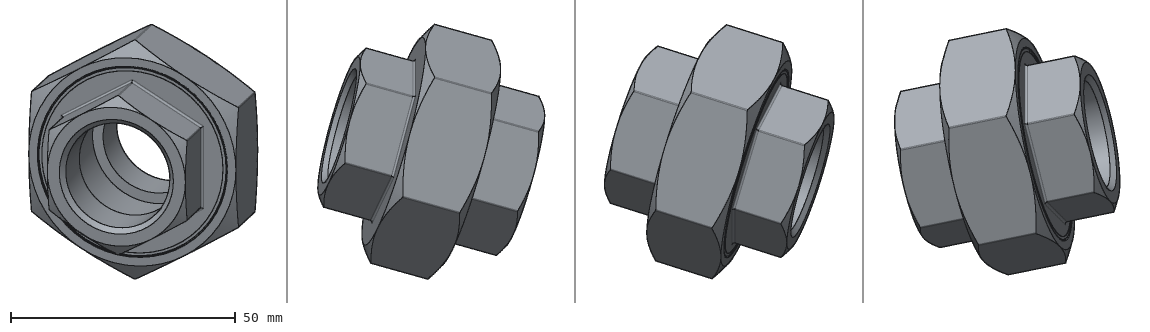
import cadquery as cq
import math

total_length = 43.0
nut_length = 17.5
nut_across_flats = 48.0
end_across_flats = 32.0
hex_edge_radius = 0.3
hex_chamfer_angle = 30.0

root_fillet = 0.5

nut_opening_diameter = 44.0
collar_diameter = 43.4
collar_face_diameter = 42.0
gap_depth = 0.5
collar_step = 0.1

bore_diameter = 24.12
mouth_diameter = 26.44
recess_diameter = 29.0
thread_length = 12.0

half_length = total_length / 2
half_nut = nut_length / 2
half_recess = half_length - thread_length

HEX_SIDES = 6
HEX_STEP = 360 / HEX_SIDES


def revolve_about_y(points):
    """Revolve a closed (radius, y) outline about the Y axis."""
    return cq.Workplane("XY").polyline(points).close().revolve(360, (0, 0, 0), (0, 1, 0))


def hexagon_bar(across_flats, start_y, length):
    """Hexagonal bar running from start_y toward +Y, with corners pointing to +Z and -Z."""
    corner_diameter = across_flats / math.cos(math.pi / HEX_SIDES)
    return (
        cq.Workplane("XZ", origin=(0, start_y, 0))
        .polygon(HEX_SIDES, corner_diameter)
        .extrude(-length)
        .rotate((0, 0, 0), (0, 1, 0), HEX_STEP / 2)
    )


def chamfered_hexagon(across_flats, length):
    """Centred hexagonal bar with rounded edges and conical chamfers that leave round end faces."""
    half = length / 2
    face_radius = across_flats / 2
    envelope_radius = across_flats
    cone_drop = (envelope_radius - face_radius) * math.tan(math.radians(hex_chamfer_angle))
    envelope = revolve_about_y([
        (0, -half),
        (face_radius, -half),
        (envelope_radius, cone_drop - half),
        (envelope_radius, half - cone_drop),
        (face_radius, half),
        (0, half),
    ])
    bar = hexagon_bar(across_flats, -half, length).edges("|Y").fillet(hex_edge_radius)
    return bar.intersect(envelope)


def root_flare():
    """Hexagonal collar on the +Y nut face, hollowed on each flat into a mitred concave fillet."""
    flare_across_flats = end_across_flats + 2 * root_fillet
    flare = hexagon_bar(flare_across_flats, half_nut, root_fillet)
    for side in range(HEX_SIDES):
        hollow = (
            cq.Workplane("XY")
            .center(flare_across_flats / 2, half_nut + root_fillet)
            .circle(root_fillet)
            .extrude(flare_across_flats / 2, both=True)
            .rotate((0, 0, 0), (0, 1, 0), HEX_STEP * side)
        )
        flare = flare.cut(hollow)
    return flare


def nut_face_groove(outer_diameter, inner_diameter, depth):
    """Ring-shaped cutter sunk into the -Y face of the nut."""
    return (
        cq.Workplane("XZ", origin=(0, -half_nut, 0))
        .circle(outer_diameter / 2)
        .circle(inner_diameter / 2)
        .extrude(-depth)
    )


def bore_cutter():
    """Through bore with 45 degree mouth chamfers and the central recess."""
    bore_radius = bore_diameter / 2
    mouth_radius = mouth_diameter / 2
    recess_radius = recess_diameter / 2
    chamfer_y = half_length - (mouth_radius - bore_radius)
    return revolve_about_y([
        (0, -half_length),
        (mouth_radius, -half_length),
        (bore_radius, -chamfer_y),
        (bore_radius, -half_recess),
        (recess_radius, -half_recess),
        (recess_radius, half_recess),
        (bore_radius, half_recess),
        (bore_radius, chamfer_y),
        (mouth_radius, half_length),
        (0, half_length),
    ])


body = chamfered_hexagon(nut_across_flats, nut_length)
body = body.union(chamfered_hexagon(end_across_flats, total_length))
body = body.union(root_flare())
body = body.union(root_flare().mirror("XZ"))

body = body.cut(nut_face_groove(nut_opening_diameter, collar_diameter, gap_depth))
body = body.cut(nut_face_groove(collar_diameter, collar_face_diameter, collar_step))

result = body.cut(bore_cutter())